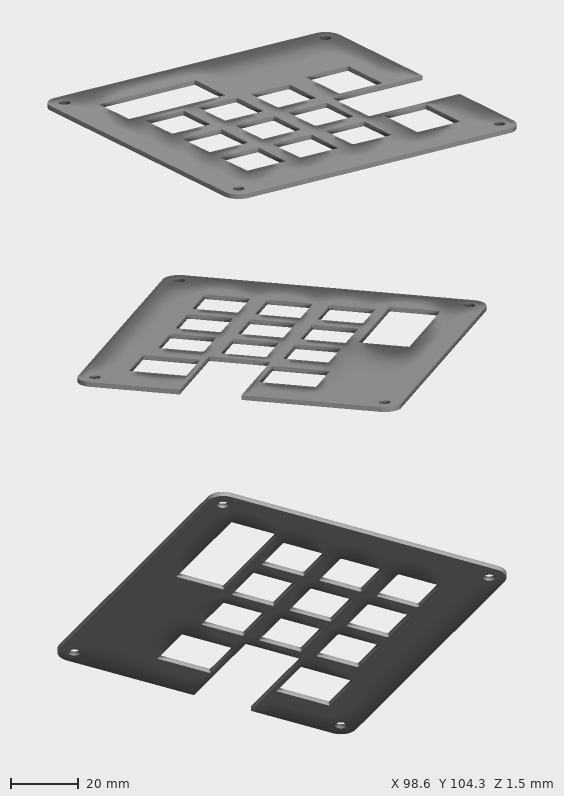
import cadquery as cq

plate_width = 98.6
plate_length = 104.3
thickness = 1.5

corner_radius = 5.0
screw_hole_diameter = 3.4

key_count = 3
key_size = 14.0
key_pitch = 19.1
key_corner_radius = 0.5
grid_x = 7.5
grid_y = -10.3

notch_width = 18.9
notch_depth = 32.7

side_window_width = 17.5
side_window_length = 15.5
side_window_offset = 19.8
side_window_y = 31.1

tall_window_width = 15.5
tall_window_length = 34.8
tall_window_x = -29.8
tall_window_y = -22.2


def opening(width, length, x, y):
    """Rectangular cutter through the full plate thickness."""
    return cq.Workplane("XY").center(x, y).rect(width, length).extrude(thickness)


def make_plate():
    plate = cq.Workplane("XY").rect(plate_width, plate_length).extrude(thickness)
    return plate.edges("|Z").fillet(corner_radius)


def screw_holes():
    spacing_x = plate_width - 2 * corner_radius
    spacing_y = plate_length - 2 * corner_radius
    centres = cq.Workplane("XY").rect(spacing_x, spacing_y, forConstruction=True).vertices()
    return centres.circle(screw_hole_diameter / 2).extrude(thickness)


def key_openings():
    centres = cq.Workplane("XY").center(grid_x, grid_y)
    centres = centres.rarray(key_pitch, key_pitch, key_count, key_count)
    keys = centres.rect(key_size, key_size).extrude(thickness)
    return keys.edges("|Z").fillet(key_corner_radius)


def notch():
    notch_y = (plate_length - notch_depth) / 2
    return opening(notch_width, notch_depth, grid_x, notch_y)


result = make_plate().cut(screw_holes()).cut(key_openings()).cut(notch())

for side in (-1, 1):
    window_x = grid_x + side * side_window_offset
    result = result.cut(opening(side_window_width, side_window_length, window_x, side_window_y))

result = result.cut(opening(tall_window_width, tall_window_length, tall_window_x, tall_window_y))